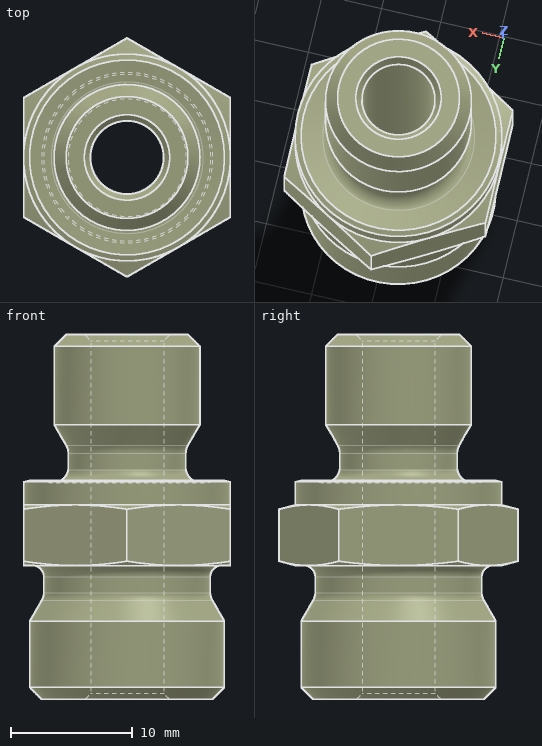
import cadquery as cq
import math

total_height = 30.0
bore_radius = 3.0
bore_chamfer = 0.5
end_chamfer = 1.0
undercut_angle = math.radians(30)
undercut_fillet = 1.25

upper_radius = 6.0
upper_neck_radius = 4.845
upper_thread_end = 22.6
upper_neck_bottom = 18.9

lower_radius = 8.0
lower_neck_radius = 6.855
lower_thread_end = 6.45
lower_neck_top = 10.08

across_flats = 17.0
hex_bottom = 11.0
hex_top = 16.0
hex_chamfer_angle = math.radians(15)
collar_radius = across_flats / 2

ridge_radius = 8.0
ridge_height = 18.0
collar_edge_drop = 0.12
seal_inner_radius = 6.25
seal_depth = 0.18
seal_root_fillet = 1.3


def undercut(thread_radius, neck_radius, thread_end, direction):
    """Points where the blend between thread flank and neck starts, bulges and ends.

    direction is +1 when the neck lies above the thread and -1 when below.
    """
    corner_z = thread_end + direction * (thread_radius - neck_radius) / math.tan(undercut_angle)
    tangent_length = undercut_fillet * math.tan(undercut_angle / 2)
    centre_r = neck_radius + undercut_fillet
    neck_z = corner_z + direction * tangent_length

    def point_on_blend(angle):
        return (
            centre_r - undercut_fillet * math.cos(angle),
            neck_z - direction * undercut_fillet * math.sin(angle),
        )

    return point_on_blend(undercut_angle), point_on_blend(undercut_angle / 2), (neck_radius, neck_z)


def make_turned_body():
    """Revolved body with both studs, the necks and the collar."""
    low_flank, low_mid, low_neck = undercut(lower_radius, lower_neck_radius, lower_thread_end, 1)
    up_flank, up_mid, up_neck = undercut(upper_radius, upper_neck_radius, upper_thread_end, -1)
    lower_root = hex_bottom - lower_neck_top
    root_offset = lower_root * math.sqrt(0.5)
    lower_root_mid = (
        lower_neck_radius + lower_root - root_offset,
        lower_neck_top + root_offset,
    )
    profile = (
        cq.Workplane("XZ")
        .moveTo(bore_radius + bore_chamfer, 0)
        .lineTo(lower_radius - end_chamfer, 0)
        .lineTo(lower_radius, end_chamfer)
        .lineTo(lower_radius, lower_thread_end)
        .lineTo(*low_flank)
        .threePointArc(low_mid, low_neck)
        .lineTo(lower_neck_radius, lower_neck_top)
        .threePointArc(lower_root_mid, (lower_neck_radius + lower_root, hex_bottom))
        .lineTo(collar_radius, hex_bottom)
        .lineTo(collar_radius, ridge_height - collar_edge_drop)
        .lineTo(ridge_radius, ridge_height)
        .lineTo(seal_inner_radius, ridge_height - seal_depth)
        .radiusArc((upper_neck_radius, upper_neck_bottom), seal_root_fillet)
        .lineTo(*up_neck)
        .threePointArc(up_mid, up_flank)
        .lineTo(upper_radius, upper_thread_end)
        .lineTo(upper_radius, total_height - end_chamfer)
        .lineTo(upper_radius - end_chamfer, total_height)
        .lineTo(bore_radius + bore_chamfer, total_height)
        .lineTo(bore_radius, total_height - bore_chamfer)
        .lineTo(bore_radius, bore_chamfer)
        .close()
    )
    return profile.revolve(360, (0, 0, 0), (0, 1, 0))


def make_hexagon():
    """Bored hexagon with corners on the Y axis, chamfered on both faces."""
    across_corners = across_flats / math.cos(math.radians(30))
    corner_radius = across_corners / 2
    prism = (
        cq.Workplane("XY", origin=(0, 0, hex_bottom))
        .transformed(rotate=(0, 0, 90))
        .polygon(6, across_corners)
        .circle(lower_neck_radius)
        .extrude(hex_top - hex_bottom)
    )
    chamfer_drop = (corner_radius - collar_radius) * math.tan(hex_chamfer_angle)
    envelope = (
        cq.Workplane("XZ")
        .moveTo(0, hex_bottom)
        .lineTo(collar_radius, hex_bottom)
        .lineTo(corner_radius, hex_bottom + chamfer_drop)
        .lineTo(corner_radius, hex_top - chamfer_drop)
        .lineTo(collar_radius, hex_top)
        .lineTo(0, hex_top)
        .close()
        .revolve(360, (0, 0, 0), (0, 1, 0))
    )
    return prism.intersect(envelope)


result = make_turned_body().union(make_hexagon())